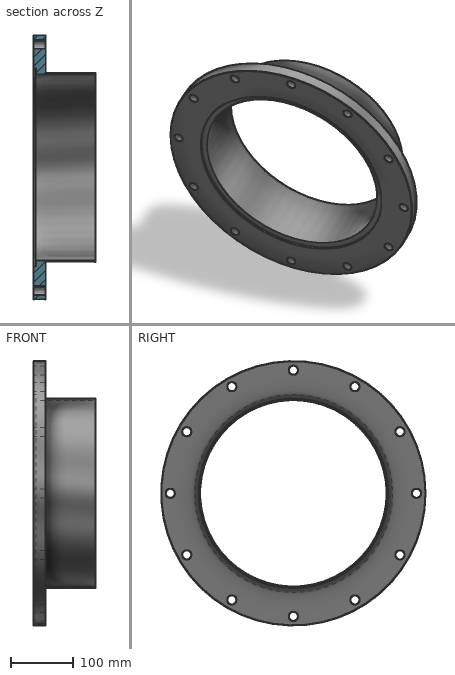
import cadquery as cq

flange_diameter = 425.0
flange_thickness = 20.0
total_length = 100.0

collar_diameter = 304.7
bore_diameter = 298.8

recess_diameter = 318.0
recess_depth = 4.0

bolt_count = 12
bolt_hole_diameter = 14.0
bolt_circle_diameter = 395.2

edge_chamfer = 1.0
hole_chamfer = 0.65


def axial_cylinder(diameter, start, length):
    """Solid cylinder on the X axis, growing towards +X from start."""
    return cq.Workplane("YZ", origin=(start, 0, 0)).circle(diameter / 2).extrude(length)


def drilled_flange():
    """Flange disc with chamfered rims and a ring of chamfered bolt holes."""
    disc = axial_cylinder(flange_diameter, 0, flange_thickness)
    holes = (
        cq.Workplane("YZ")
        .polarArray(bolt_circle_diameter / 2, 0, 360, bolt_count)
        .circle(bolt_hole_diameter / 2)
        .extrude(flange_thickness)
    )
    drilled = disc.cut(holes)
    outer_radius = flange_diameter / 2
    rims = drilled.edges("%CIRCLE").filter(lambda edge: abs(edge.radius() - outer_radius) < edge_chamfer)
    chamfered = rims.chamfer(edge_chamfer)
    hole_radius = bolt_hole_diameter / 2
    hole_rims = chamfered.edges("%CIRCLE").filter(lambda edge: edge.radius() < hole_radius + hole_chamfer)
    return hole_rims.chamfer(hole_chamfer)


def collar():
    """Plain cylinder behind the flange with its free edge chamfered."""
    body = axial_cylinder(collar_diameter, flange_thickness, total_length - flange_thickness)
    return body.faces(">X").edges().chamfer(edge_chamfer)


bore = axial_cylinder(bore_diameter, 0, total_length)
recess = axial_cylinder(recess_diameter, 0, recess_depth)

result = drilled_flange().union(collar()).cut(bore).cut(recess)